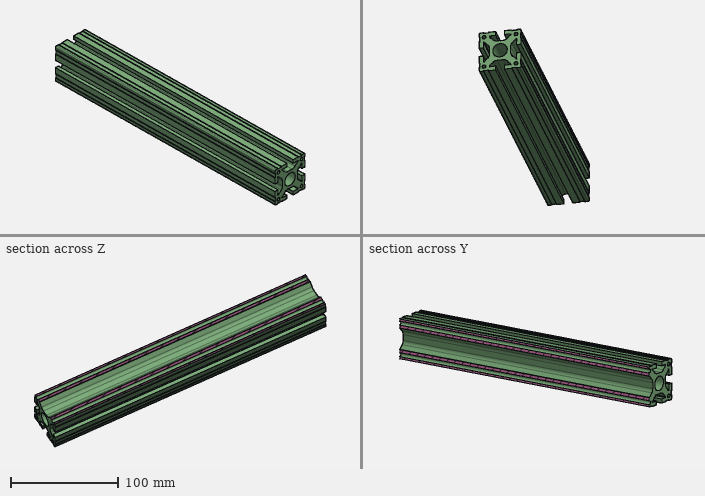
import cadquery as cq

length = 288.0
side = 40.0
half_side = side / 2
corner_radius = 1.5

slot_opening = 8.4
lip_thickness = 4.0
slot_floor_height = 10.0
slot_floor_width = 10.0
slot_inner_width = 20.5
floor_blend_radius = 5.2

groove_near_edge = 11.2
groove_far_edge = 15.8
groove_depth = 0.5

center_bore_diameter = 13.8
corner_bore_diameter = 3.5
corner_bore_offset = 15.3

SIDE_ANGLES = (0, 90, 180, 270)


def profile_plane():
    """Cross-section plane at the start of the bar; local x is Y and local y is Z."""
    return cq.Workplane("YZ", origin=(-length / 2, 0, 0))


def make_bar():
    return profile_plane().rect(side, side).extrude(length).edges("|X").fillet(corner_radius)


def make_slot():
    """T-slot of the +Z side: narrow mouth, wide shoulder, walls at 45 degrees blended into a flat floor."""
    half_opening = slot_opening / 2
    half_inner = slot_inner_width / 2
    half_floor = slot_floor_width / 2
    shoulder_height = half_side - lip_thickness
    wall_foot_height = slot_floor_height + half_inner - half_floor
    slot = (
        profile_plane()
        .moveTo(-half_opening, half_side)
        .lineTo(-half_opening, shoulder_height)
        .lineTo(-half_inner, shoulder_height)
        .lineTo(-half_inner, wall_foot_height)
        .lineTo(-half_floor, slot_floor_height)
        .lineTo(half_floor, slot_floor_height)
        .lineTo(half_inner, wall_foot_height)
        .lineTo(half_inner, shoulder_height)
        .lineTo(half_opening, shoulder_height)
        .lineTo(half_opening, half_side)
        .close()
        .extrude(length)
    )
    floor_edges = slot.faces("<Z").edges("|X")
    return floor_edges.fillet(floor_blend_radius)


def make_grooves():
    """Pair of shallow rectangular grooves in the +Z side."""
    groove_middle = (groove_near_edge + groove_far_edge) / 2
    groove_width = groove_far_edge - groove_near_edge
    return (
        profile_plane()
        .pushPoints([(-groove_middle, half_side), (groove_middle, half_side)])
        .rect(groove_width, 2 * groove_depth)
        .extrude(length)
    )


def make_bores():
    center_bore = profile_plane().circle(center_bore_diameter / 2).extrude(length)
    corner_bores = (
        profile_plane()
        .rect(2 * corner_bore_offset, 2 * corner_bore_offset, forConstruction=True)
        .vertices()
        .circle(corner_bore_diameter / 2)
        .extrude(length)
    )
    return center_bore, corner_bores


result = make_bar()

for angle in SIDE_ANGLES:
    for side_cut in (make_slot(), make_grooves()):
        result = result.cut(side_cut.rotate((0, 0, 0), (1, 0, 0), angle))

for bore in make_bores():
    result = result.cut(bore)